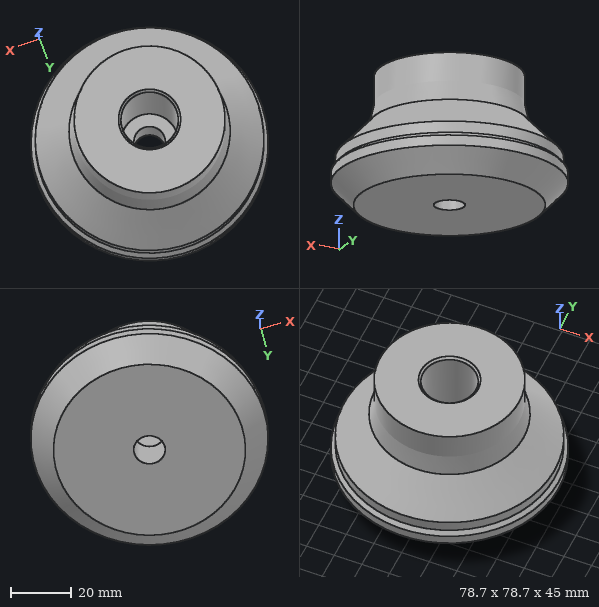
import cadquery as cq

total_height = 45.0
neck_bottom = 35.0
collar_bottom = 27.9
shoulder_bottom = 16.5
base_rim_top = 11.15
base_rim_bottom = 7.6

neck_radius = 25.0
collar_radius = 26.7
hub_radius = 37.9
bore_radius = 9.5
bore_chamfer = 0.8

base_radius = 39.33
base_bottom_radius = 31.8
base_hole_radius = 5.2

joint_height = base_rim_top + (base_radius - hub_radius)


def revolve_about_z(profile):
    """Full turn about Z of a closed outline given as (radius, height) points."""
    return cq.Workplane("XZ").polyline(profile).close().revolve(360, (0, 0), (0, 1))


def make_hub():
    """Stepped hub with a through bore that is chamfered at the top."""
    return revolve_about_z([
        (bore_radius, joint_height),
        (hub_radius, joint_height),
        (hub_radius, shoulder_bottom),
        (collar_radius, collar_bottom),
        (neck_radius, neck_bottom),
        (neck_radius, total_height),
        (bore_radius + bore_chamfer, total_height),
        (bore_radius, total_height - bore_chamfer),
    ])


def make_base():
    """Bevelled disc under the hub; its smaller hole leaves a ledge at the end of the hub's bore."""
    return revolve_about_z([
        (base_hole_radius, 0),
        (base_bottom_radius, 0),
        (base_radius, base_rim_bottom),
        (base_radius, base_rim_top),
        (hub_radius, joint_height),
        (base_hole_radius, joint_height),
    ])


hub = make_hub()
base = make_base()

result = cq.Compound.makeCompound([hub.val(), base.val()])